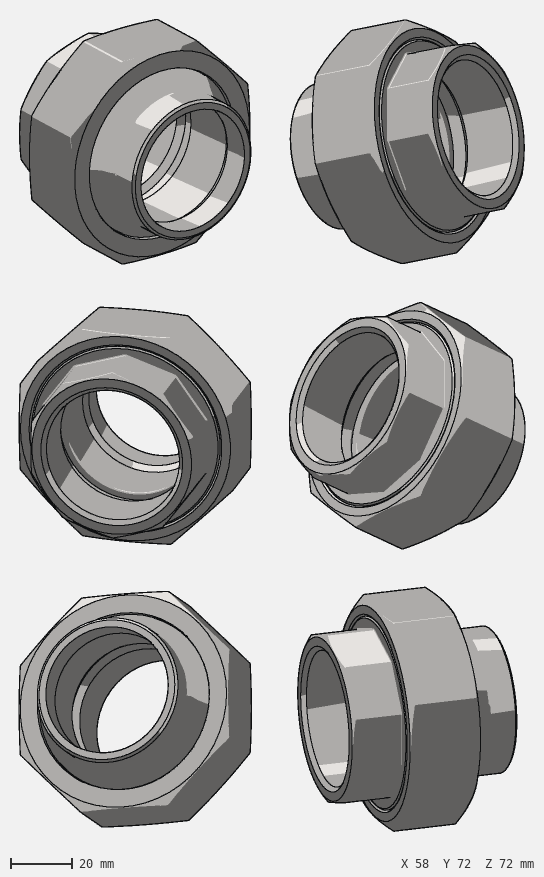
import cadquery as cq
import math


total_length = 58.0
nut_start = 17.0
nut_end = 41.25
joint_face = 26.5
pipe_start = 48.7

decagon_across_flats = 54.9
decagon_face_diameter = 53.85
decagon_chamfer_angle = 30
decagon_root_radius = 0.5
collar_chamfer = 0.6
thread_bore_diameter = 44.85
thread_mouth_diameter = 47.8
thread_end = 19.15
relief_diameter = 49.0
relief_edge_radius = 1.0

octagon_across_flats = 72
octagon_face_diameter = 70.85
octagon_chamfer_angle = 22.5
nut_thread_diameter = 63.65
nut_mouth_diameter = 65.0
nut_lip_length = 3.6
nut_lip_diameter = 59.0

shoulder_diameter = 62.5
neck_diameter = 58.5
pipe_diameter = 48.3
pipe_bore_diameter = 42.0
entry_bore_diameter = thread_bore_diameter
bore_entry_radius = 0.6
reducer_angle = 30
reducer_blend_radius = 1.0
pipe_chamfer_length = 0.7
pipe_chamfer_depth = 0.9

corner_radius = 1.0
chamfer_edge_radius = 0.5

lip_start = nut_end - nut_lip_length


def turned(points):
    """Revolve a closed profile of (x, radius) points about the X axis."""
    return cq.Workplane("XY").polyline(points).close().revolve(360, (0, 0, 0), (1, 0, 0))


def cone_length(large_diameter, small_diameter, angle):
    """Length along X of a cone whose side is at the angle to the axis."""
    return (large_diameter - small_diameter) / 2 / math.tan(math.radians(angle))


def polygon_bar(sides, across_flats, start, end):
    """A regular prism along X with rounded corners and flats facing +Y and -Y."""
    across_corners = across_flats / math.cos(math.pi / sides)
    half_side_angle = 180 / sides
    return (
        cq.Workplane("YZ", origin=(start, 0, 0))
        .transformed(rotate=(0, 0, half_side_angle))
        .polygon(sides, across_corners)
        .extrude(end - start)
        .edges("|X")
        .fillet(corner_radius)
    )


def coned_blank(start, end, face_diameter, angle, cone_both_ends):
    """A round blank with coned ends, which trims the corners of a prism to the face diameter."""
    cone = (end - start) / 3
    face_radius = face_diameter / 2
    outer_radius = face_radius + cone / math.tan(math.radians(angle))
    points = [(start, 0), (start, face_radius), (start + cone, outer_radius)]
    if cone_both_ends:
        points += [(end - cone, outer_radius), (end, face_radius)]
    else:
        points += [(end, outer_radius)]
    points += [(end, 0)]
    return turned(points)


def round_chamfer_edges(prism):
    """Round the curved edges where the coned ends meet the sides of the prism."""
    return prism.edges("%HYPERBOLA or %BSPLINE").fillet(chamfer_edge_radius)


def make_decagon():
    prism = polygon_bar(10, decagon_across_flats, 0, nut_start)
    blank = coned_blank(0, nut_start, decagon_face_diameter, decagon_chamfer_angle, False)
    return round_chamfer_edges(prism.intersect(blank))


def make_collar():
    """The externally threaded end, with its thread shown as a plain cylinder."""
    return (
        cq.Workplane("YZ", origin=(nut_start, 0, 0))
        .circle(nut_thread_diameter / 2)
        .extrude(joint_face - nut_start)
        .faces("<X")
        .chamfer(collar_chamfer)
    )


def threaded_body_cavity():
    """Internal thread with a 45 degree mouth, then a relief whose joint edge is rounded outward."""
    thread_radius = thread_bore_diameter / 2
    mouth_radius = thread_mouth_diameter / 2
    relief_radius = relief_diameter / 2
    relief_start = thread_end + relief_radius - thread_radius
    arc_start = (joint_face - relief_edge_radius, relief_radius)
    arc_end = (joint_face, relief_radius + relief_edge_radius)
    diagonal = relief_edge_radius * math.sqrt(0.5)
    arc_middle = (arc_start[0] + diagonal, arc_end[1] - diagonal)
    return (
        cq.Workplane("XY")
        .moveTo(0, 0)
        .lineTo(0, mouth_radius)
        .lineTo(mouth_radius - thread_radius, thread_radius)
        .lineTo(thread_end, thread_radius)
        .lineTo(relief_start, relief_radius)
        .lineTo(*arc_start)
        .threePointArc(arc_middle, arc_end)
        .lineTo(joint_face, 0)
        .close()
        .revolve(360, (0, 0, 0), (1, 0, 0))
    )


def make_threaded_body():
    body = make_decagon().union(make_collar())
    collar_front = body.faces("|X").faces("<X[1]")
    root_edges = collar_front.val().innerWires()[0].Edges()
    body = body.newObject(root_edges).fillet(decagon_root_radius)
    return body.cut(threaded_body_cavity())


def make_union_nut():
    prism = polygon_bar(8, octagon_across_flats, nut_start, nut_end)
    blank = coned_blank(nut_start, nut_end, octagon_face_diameter, octagon_chamfer_angle, True)
    octagon = round_chamfer_edges(prism.intersect(blank))
    thread_radius = nut_thread_diameter / 2
    mouth_radius = nut_mouth_diameter / 2
    lip_radius = nut_lip_diameter / 2
    cavity = turned([
        (nut_start, 0),
        (nut_start, mouth_radius),
        (nut_start + mouth_radius - thread_radius, thread_radius),
        (lip_start, thread_radius),
        (lip_start, lip_radius),
        (nut_end, lip_radius),
        (nut_end, 0),
    ])
    return octagon.cut(cavity)


def weld_end_outside():
    """Shoulder, neck, reducing cone and pipe; the cone blends into the pipe."""
    neck_end = pipe_start - cone_length(neck_diameter, pipe_diameter, reducer_angle)
    pipe_radius = pipe_diameter / 2
    outside = turned([
        (joint_face, 0),
        (joint_face, shoulder_diameter / 2),
        (lip_start, shoulder_diameter / 2),
        (lip_start, neck_diameter / 2),
        (neck_end, neck_diameter / 2),
        (pipe_start, pipe_radius),
        (total_length - pipe_chamfer_length, pipe_radius),
        (total_length, pipe_radius - pipe_chamfer_depth),
        (total_length, 0),
    ])
    cone_end = cq.selectors.NearestToPointSelector((pipe_start, 0, 0))
    return outside.edges("%CIRCLE").edges(cone_end).fillet(reducer_blend_radius)


def weld_end_bore():
    """The bore narrows in a cone that ends where the outer cone does."""
    entry_radius = entry_bore_diameter / 2
    pipe_bore_radius = pipe_bore_diameter / 2
    cone_start = pipe_start - cone_length(entry_bore_diameter, pipe_bore_diameter, reducer_angle)
    return turned([
        (joint_face, 0),
        (joint_face, entry_radius),
        (cone_start, entry_radius),
        (pipe_start, pipe_bore_radius),
        (total_length, pipe_bore_radius),
        (total_length, 0),
    ])


def make_weld_end():
    weld_end = weld_end_outside().cut(weld_end_bore())
    bore_entry = weld_end.faces("<X").val().innerWires()[0].Edges()
    return weld_end.newObject(bore_entry).fillet(bore_entry_radius)


threaded_body = make_threaded_body()
union_nut = make_union_nut()
weld_end = make_weld_end()

result = cq.Compound.makeCompound([threaded_body.val(), union_nut.val(), weld_end.val()])